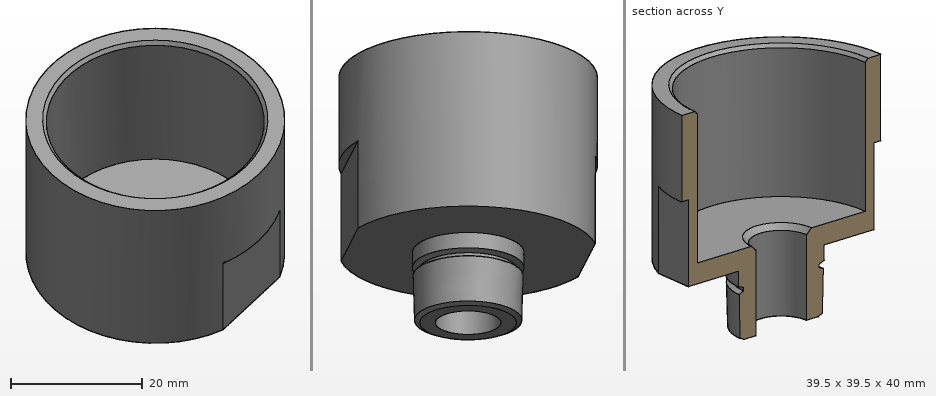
import cadquery as cq

total_height = 40.0
body_diameter = 39.5
body_height = 28.5
spigot_length = total_height - body_height

bore_diameter = 33.25
bore_chamfer = 0.55
floor_thickness = 3.5
hole_diameter = 10.0
hole_chamfer = 0.9

flat_spacing = 36.8
flat_height = body_height / 2

collar_diameter = 17.05
collar_length = 2.5
groove_diameter = 15.05
groove_wall_height = 0.4
groove_floor_width = 0.5
taper_top_diameter = 16.8
taper_bottom_diameter = 16.4
tip_diameter = 14.7
tip_chamfer_height = 0.4


def make_turned_blank():
    """Revolve the outside of the body and spigot."""
    collar_bottom = spigot_length - collar_length
    groove_top = collar_bottom - groove_wall_height
    groove_bottom = groove_top - groove_floor_width
    taper_top = groove_bottom - groove_wall_height
    profile = [
        (0, 0),
        (tip_diameter / 2, 0),
        (taper_bottom_diameter / 2, tip_chamfer_height),
        (taper_top_diameter / 2, taper_top),
        (groove_diameter / 2, groove_bottom),
        (groove_diameter / 2, groove_top),
        (collar_diameter / 2, collar_bottom),
        (collar_diameter / 2, spigot_length),
        (body_diameter / 2, spigot_length),
        (body_diameter / 2, total_height),
        (0, total_height),
    ]
    return cq.Workplane("XZ").polyline(profile).close().revolve(360, (0, 0), (0, 1))


def make_bore():
    """Revolve the chamfered cup bore together with the chamfered through hole."""
    floor = spigot_length + floor_thickness
    bore_radius = bore_diameter / 2
    hole_radius = hole_diameter / 2
    profile = [
        (0, 0),
        (hole_radius, 0),
        (hole_radius, floor - hole_chamfer),
        (hole_radius + hole_chamfer, floor),
        (bore_radius, floor),
        (bore_radius, total_height - bore_chamfer),
        (bore_radius + bore_chamfer, total_height),
        (0, total_height),
    ]
    return cq.Workplane("XZ").polyline(profile).close().revolve(360, (0, 0), (0, 1))


def make_flat_cutter(side):
    """Block outside one wrench flat; side is -1 or +1 along X."""
    flat_depth = (body_diameter - flat_spacing) / 2
    center_x = side * (flat_spacing + flat_depth) / 2
    return (
        cq.Workplane("XY", origin=(center_x, 0, spigot_length))
        .rect(flat_depth, body_diameter)
        .extrude(flat_height)
    )


result = make_turned_blank().cut(make_bore())
for side in (-1, 1):
    result = result.cut(make_flat_cutter(side))